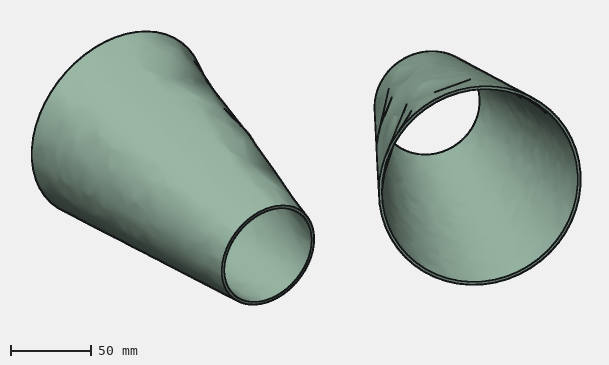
import cadquery as cq

length = 180.0
large_diameter = 128.7
small_diameter = 69.0
wall = 2.0
small_end_offset_y = -6.8


def oblique_cone(start_diameter, end_diameter):
    """Solid cone along +X, with its end circle shifted in Y."""
    return (
        cq.Workplane("YZ")
        .circle(start_diameter / 2)
        .workplane(offset=length)
        .center(small_end_offset_y, 0)
        .circle(end_diameter / 2)
        .loft(ruled=True)
    )


outer = oblique_cone(large_diameter, small_diameter)
bore = oblique_cone(large_diameter - 2 * wall, small_diameter - 2 * wall)

result = outer.cut(bore)